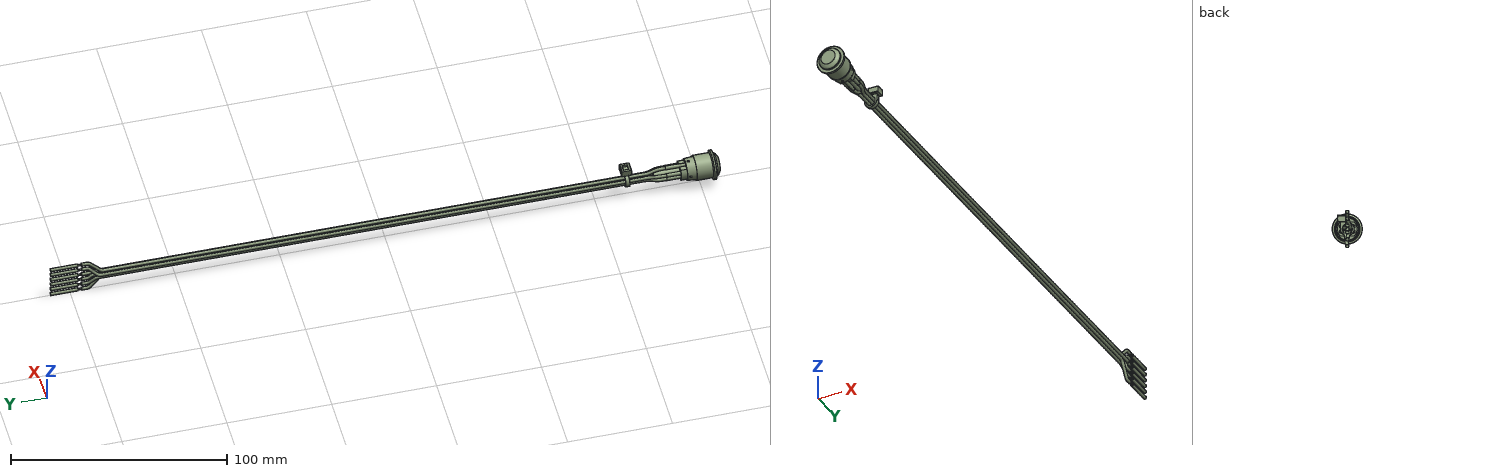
import cadquery as cq
import math

total_length = 318.4

wire_diameter = 1.57
conductor_diameter = 0.79
contact_diameter = 1.77
bundle_radius = 1.55
contact_top_z = 3.25
contact_side_x = 2.75
contact_side_z = 1.1
tip_spacing = 3.15
tip_length = 13.0
stripped_length = 1.8
shortest_straight = 0.001
tip_bend_y = total_length - 17.1
tip_bend_radius = 2.5
tip_bend_angle = math.radians(45)

contact_back_y = 25.4
fan_start_y = 27.4
fan_length = 8.0

face_diameter = 7.35
dome_step_diameter = 9.0
dome_edge_diameter = 10.3
bezel_diameter = 11.0
flange_diameter = 14.0
barrel_diameter = 11.9
collar_front_diameter = 11.0
collar_back_diameter = 10.3
tail_diameter = 9.1
spigot_diameter = 3.4

dome_step_y = 0.5
dome_edge_y = 1.0
bezel_front_y = 1.5
flange_front_y = 2.4
flange_back_y = 3.4
barrel_front_y = 3.85
barrel_back_y = 11.5
collar_back_y = 15.8
tail_back_y = 18.7
tail_flat_height = 6.6
spigot_back_y = 31.2

dimple_diameter = 1.0
dimple_depth = 0.8
dimple_y = 14.4

tie_y = 43.85
band_width = 1.9
band_thickness = 0.85
head_width = 4.8
head_left = -0.6
head_right = 4.5
head_top = 6.4
head_base = 3.2
head_chamfer = 0.3
slot_length = 3.0
slot_width = 2.4
slot_depth = 1.2


def bend_run(offset, radius, angle):
    """Length along Y of an S-bend that shifts a path sideways by `offset`."""
    straight_rise = offset - 2 * radius * (1 - math.cos(angle))
    return 2 * radius * math.sin(angle) + straight_rise / math.tan(angle)


def s_bend(path, start, end, radius, angle):
    """Append an arc, a straight and a counter-arc that carry a path in +Y from start to end.

    The run along Y follows from the bend; only the X and Z of `end` are used. Returns the end point.
    """
    side = cq.Vector(end.x - start.x, 0, end.z - start.z)
    offset = side.Length
    side = side.normalized()
    along = cq.Vector(0, 1, 0)
    arc_rise = radius * (1 - math.cos(angle))
    arc_run = radius * math.sin(angle)
    mid_rise = radius * (1 - math.cos(angle / 2))
    mid_run = radius * math.sin(angle / 2)
    straight_rise = offset - 2 * arc_rise
    run = bend_run(offset, radius, angle)

    def place(y, rise):
        return start + along * y + side * rise

    first_end = place(arc_run, arc_rise)
    second_start = place(run - arc_run, offset - arc_rise)
    finish = place(run, offset)
    path.append(cq.Edge.makeThreePointArc(start, place(mid_run, mid_rise), first_end))
    if straight_rise > shortest_straight:
        path.append(cq.Edge.makeLine(first_end, second_start))
    path.append(cq.Edge.makeThreePointArc(second_start, place(run - mid_run, offset - mid_rise), finish))
    return finish


def rod(x, z, y_start, y_end, diameter):
    """A round rod along +Y."""
    return cq.Solid.makeCylinder(
        diameter / 2, y_end - y_start, cq.Vector(x, y_start, z), cq.Vector(0, 1, 0)
    )


def make_wire(strand_place, contact_place, tip_z):
    """One wire: contact, fan-in to the strand, long run, fan-out to its row place and stripped tip.

    Both places are (x, z) pairs.
    """
    strand_x, strand_z = strand_place
    contact_x, contact_z = contact_place
    wire_end_y = total_length - tip_length - stripped_length

    path = []
    contact_point = cq.Vector(contact_x, contact_back_y, contact_z)
    fan_point = cq.Vector(contact_x, fan_start_y, contact_z)
    strand_point = cq.Vector(strand_x, 0, strand_z)
    tip_point = cq.Vector(0, tip_bend_y, tip_z)

    tip_offset = math.hypot(strand_x, tip_z - strand_z)
    strand_end_y = tip_bend_y - bend_run(tip_offset, tip_bend_radius, tip_bend_angle)
    strand_end = cq.Vector(strand_x, strand_end_y, strand_z)

    fan_offset = math.hypot(contact_x - strand_x, contact_z - strand_z)
    fan_angle = 2 * math.atan(fan_offset / fan_length)
    fan_radius = fan_length / (2 * math.sin(fan_angle))

    path.append(cq.Edge.makeLine(contact_point, fan_point))
    strand_start = s_bend(path, fan_point, strand_point, fan_radius, fan_angle)
    path.append(cq.Edge.makeLine(strand_start, strand_end))
    s_bend(path, strand_end, tip_point, tip_bend_radius, tip_bend_angle)
    path.append(cq.Edge.makeLine(tip_point, cq.Vector(0, wire_end_y, tip_z)))

    section = cq.Workplane(cq.Plane(contact_point, (1, 0, 0), (0, 1, 0))).circle(wire_diameter / 2)
    wire = section.sweep(cq.Workplane(cq.Wire.assembleEdges(path)))
    wire = wire.union(rod(contact_x, contact_z, collar_back_y, contact_back_y, contact_diameter))
    wire = wire.union(rod(0, tip_z, wire_end_y, total_length - tip_length, conductor_diameter))
    return wire.union(rod(0, tip_z, total_length - tip_length, total_length, wire_diameter))


def ring_place(degrees):
    """A place on the circle of outer wires in the strand."""
    angle = math.radians(degrees)
    return (bundle_radius * math.cos(angle), bundle_radius * math.sin(angle))


def make_cable():
    wire_places = [
        (ring_place(90), (0, contact_top_z)),
        (ring_place(162), (-contact_side_x, contact_side_z)),
        (ring_place(18), (contact_side_x, contact_side_z)),
        ((0, 0), (0, -contact_top_z)),
        (ring_place(234), (-contact_side_x, -contact_side_z)),
        (ring_place(306), (contact_side_x, -contact_side_z)),
    ]
    top_tip_z = tip_spacing * (len(wire_places) - 1) / 2
    wires = []
    for row, (strand_place, contact_place) in enumerate(wire_places):
        wires.append(make_wire(strand_place, contact_place, top_tip_z - row * tip_spacing))
    cable = wires[0]
    for wire in wires[1:]:
        cable = cable.union(wire)
    return cable


def make_connector(cable):
    outline = [
        (0, 0),
        (face_diameter / 2, 0),
        (dome_step_diameter / 2, dome_step_y),
        (dome_edge_diameter / 2, dome_edge_y),
        (bezel_diameter / 2, bezel_front_y),
        (bezel_diameter / 2, flange_front_y),
        (flange_diameter / 2, flange_front_y),
        (flange_diameter / 2, flange_back_y),
        (barrel_diameter / 2, barrel_front_y),
        (barrel_diameter / 2, barrel_back_y),
        (collar_front_diameter / 2, barrel_back_y),
        (collar_back_diameter / 2, collar_back_y),
        (0, collar_back_y),
    ]
    body = cq.Workplane("XY").polyline(outline).close().revolve(360, (0, 0), (0, 1))

    tail = cq.Workplane(rod(0, 0, collar_back_y, tail_back_y, tail_diameter))
    flats = cq.Workplane("XY").box(tail_diameter, 2 * tail_back_y, tail_flat_height)
    spigot = rod(0, 0, collar_back_y, spigot_back_y, spigot_diameter)
    body = body.union(tail.intersect(flats)).union(spigot)

    dimple = cq.Workplane("XY", origin=(0, dimple_y, collar_back_diameter / 2 - dimple_depth))
    dimple = dimple.circle(dimple_diameter / 2).extrude(2 * dimple_depth)
    for quarter in range(4):
        body = body.cut(dimple.rotate((0, 0, 0), (0, 1, 0), 90 * quarter))
    return body.cut(cable)


def make_cable_tie():
    inner_radius = bundle_radius + wire_diameter / 2
    outer_radius = inner_radius + band_thickness
    band = cq.Workplane("XZ", origin=(0, tie_y + band_width / 2, 0)).circle(outer_radius).extrude(band_width)
    head_length = head_right - head_left
    head_x = (head_left + head_right) / 2
    head = cq.Workplane("XY", origin=(head_x, tie_y, head_base)).rect(head_length, head_width)
    head = head.extrude(head_top - head_base).edges("|X").chamfer(head_chamfer)
    neck = cq.Workplane("XY", origin=(head_x, tie_y, 0)).rect(head_length / 2, band_width).extrude(head_base)
    slot = cq.Workplane("XY", origin=(head_x, tie_y, head_top - slot_depth)).rect(slot_length, slot_width)
    slot = slot.extrude(slot_depth)
    bore = rod(0, 0, tie_y - head_width, tie_y + head_width, 2 * inner_radius)
    return band.union(neck).union(head).cut(slot).cut(cq.Workplane(bore))


cable = make_cable()
connector = make_connector(cable)
cable_tie = make_cable_tie()

result = cq.Compound.makeCompound([connector.val(), cable.val(), cable_tie.val()])